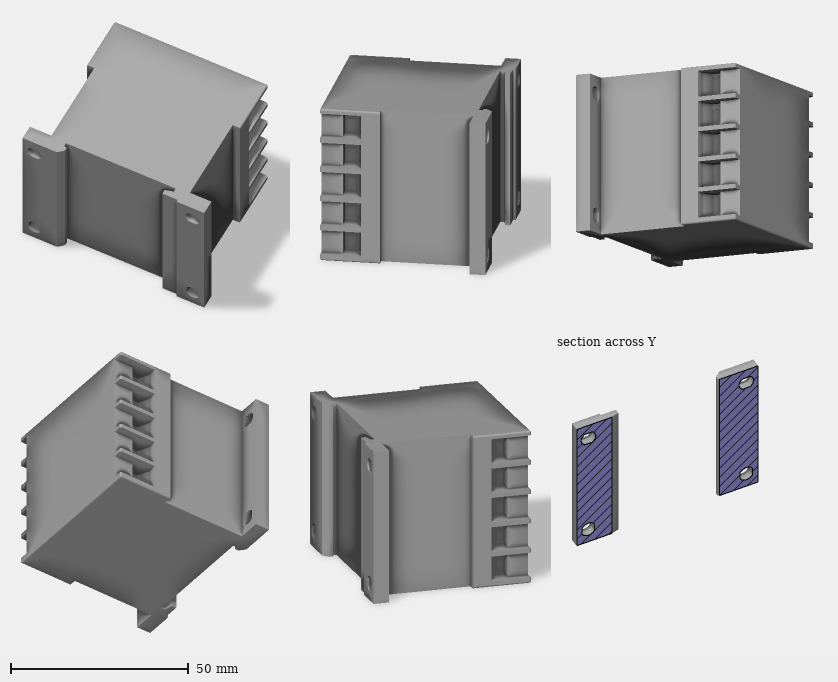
import cadquery as cq

WIDTH = 57.5
DEPTH = 48.2
HEIGHT = 45.0

FLANGE_THICKNESS = 4.5
BODY_WIDTH = 43.8
HEAD_WIDTH = 48.55
HEAD_DEPTH = 17.2
HEAD_FILLET = 0.5

CHANNEL_LEFT = -17.0
CHANNEL_RIGHT = 17.7
CHANNEL_DEPTH = 3.95
HOOK_ROOT_Y = 2.8
HOOK_TIP_X = -16.1
HOOK_TIP_BACK = 2.65
HOOK_TIP_FRONT = 1.55
HOOK_FOOT_X = -17.8
LATCH_ROOT_Y = 2.75
LATCH_TIP_X = 15.1
LATCH_TIP_BACK = 2.1
LATCH_FRONT = 0.7
LATCH_STEP_X = 20.0

HOLE_DIAMETER = 4.5
HOLE_FLATS = 3.8
HOLE_X = 25.0
UPPER_HOLE_Z = 39.95
LOWER_HOLE_Z = 4.9

POCKET_COUNT = 5
LOWEST_POCKET_Z = 1.55
POCKET_HEIGHT = 7.4
RIB_THICKNESS = 1.25
POCKET_PITCH = POCKET_HEIGHT + RIB_THICKNESS
POCKET_LENGTH = 11.85
POCKET_FLOOR_LENGTH = 10.25
TERMINAL_LENGTH = 6.1
TERMINAL_DEPTH = 2.9
POCKET_DEPTH = 6.45

LEDGE_HEIGHT = 0.3
LEDGES = (
    (0, 0, 0.5),
    (1, 0, 1.0),
    (3, POCKET_HEIGHT - 1.5, POCKET_HEIGHT),
    (4, POCKET_HEIGHT - 1.05, POCKET_HEIGHT),
)


def extrude_up(points, bottom, top):
    """Prism between two heights over a polygon in the XY plane."""
    return cq.Workplane("XY").workplane(offset=bottom).polyline(points).close().extrude(top - bottom)


def make_head():
    head = cq.Workplane("XY").box(HEAD_WIDTH, HEAD_DEPTH, HEIGHT, centered=(True, False, False))
    head = head.translate((0, DEPTH - HEAD_DEPTH, 0))
    return head.edges("|Y or >Y").fillet(HEAD_FILLET)


def make_body():
    half_width = WIDTH / 2
    half_body = BODY_WIDTH / 2
    body_back = DEPTH - HEAD_DEPTH / 2
    outline = [
        (-half_width, 0),
        (HOOK_FOOT_X, 0),
        (HOOK_TIP_X, HOOK_TIP_FRONT),
        (HOOK_TIP_X, HOOK_TIP_BACK),
        (CHANNEL_LEFT, HOOK_ROOT_Y),
        (CHANNEL_LEFT, CHANNEL_DEPTH),
        (CHANNEL_RIGHT, CHANNEL_DEPTH),
        (CHANNEL_RIGHT, LATCH_ROOT_Y),
        (LATCH_TIP_X, LATCH_TIP_BACK),
        (LATCH_TIP_X, LATCH_FRONT),
        (LATCH_STEP_X, LATCH_FRONT),
        (LATCH_STEP_X, 0),
        (half_width, 0),
        (half_width, FLANGE_THICKNESS),
        (half_body, FLANGE_THICKNESS),
        (half_body, body_back),
        (-half_body, body_back),
        (-half_body, FLANGE_THICKNESS),
        (-half_width, FLANGE_THICKNESS),
    ]
    return extrude_up(outline, 0, HEIGHT)


def make_hole(x, z, width, height):
    """Round hole through the flange, cut off by flats to the given width and height."""
    round_hole = cq.Workplane("XZ").circle(HOLE_DIAMETER / 2).extrude(-FLANGE_THICKNESS)
    flats = cq.Workplane("XZ").rect(width, height).extrude(-FLANGE_THICKNESS)
    return round_hole.intersect(flats).translate((x, 0, z))


def make_holes():
    """The upper holes are long in X, the lower holes long in Z."""
    holes = cq.Workplane("XY")
    for x in (-HOLE_X, HOLE_X):
        holes = holes.add(make_hole(x, UPPER_HOLE_Z, HOLE_DIAMETER, HOLE_FLATS))
        holes = holes.add(make_hole(x, LOWER_HOLE_Z, HOLE_FLATS, HOLE_DIAMETER))
    return holes.combine()


def pocket_bottom(index):
    return LOWEST_POCKET_Z + index * POCKET_PITCH


def make_left_pockets():
    """Material removed from the -X side of the head, ledges left standing."""
    side = -HEAD_WIDTH / 2
    floor = side + POCKET_DEPTH
    terminal = side + TERMINAL_DEPTH
    pocket_front = DEPTH - POCKET_LENGTH
    terminal_front = DEPTH - TERMINAL_LENGTH
    outline = [
        (side, DEPTH),
        (side, pocket_front),
        (terminal, pocket_front),
        (floor, DEPTH - POCKET_FLOOR_LENGTH),
        (floor, terminal_front),
        (terminal, terminal_front),
        (terminal, DEPTH),
    ]
    ledge_outline = [
        (floor - LEDGE_HEIGHT, pocket_front),
        (floor, pocket_front),
        (floor, terminal_front),
        (floor - LEDGE_HEIGHT, terminal_front),
    ]
    pockets = cq.Workplane("XY")
    for index in range(POCKET_COUNT):
        bottom = pocket_bottom(index)
        pockets = pockets.add(extrude_up(outline, bottom, bottom + POCKET_HEIGHT))
    pockets = pockets.combine()
    for index, ledge_bottom, ledge_top in LEDGES:
        bottom = pocket_bottom(index)
        pockets = pockets.cut(extrude_up(ledge_outline, bottom + ledge_bottom, bottom + ledge_top))
    return pockets


left_pockets = make_left_pockets()
result = make_body().union(make_head()).cut(make_holes())
result = result.cut(left_pockets).cut(left_pockets.mirror("YZ"))